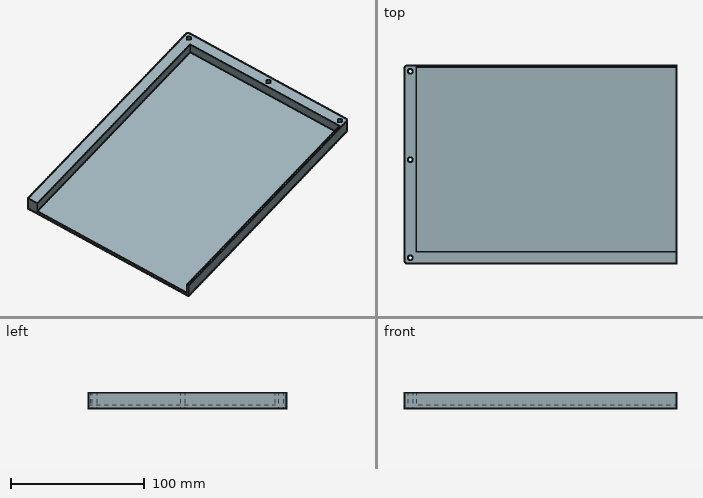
import cadquery as cq

length = 203.75
width = 148.38
height = 12.0

wide_rim = 8.75
back_wall = 1.5
floor_thickness = 3.0
corner_radius = 2.0

hole_diameter = 3.5
hole_inset = wide_rim / 2
middle_hole_y = 77.88


def tray_block():
    """Solid block with its two -X corners rounded, one corner at the origin."""
    block = cq.Workplane("XY").box(length, width, height, centered=False)
    return block.edges("|Z and <X").fillet(corner_radius)


def floor_recess():
    """Space above the floor, bounded by the rim and open at the +X end."""
    return (
        cq.Workplane("XY", origin=(wide_rim, wide_rim, floor_thickness))
        .box(
            length - wide_rim,
            width - wide_rim - back_wall,
            height - floor_thickness,
            centered=False,
        )
    )


def screw_holes():
    """Vertical through holes centred on the -X rim."""
    hole_ys = (hole_inset, middle_hole_y, width - hole_inset)
    return (
        cq.Workplane("XY")
        .pushPoints([(hole_inset, y) for y in hole_ys])
        .circle(hole_diameter / 2)
        .extrude(height)
    )


result = tray_block().cut(floor_recess()).cut(screw_holes())